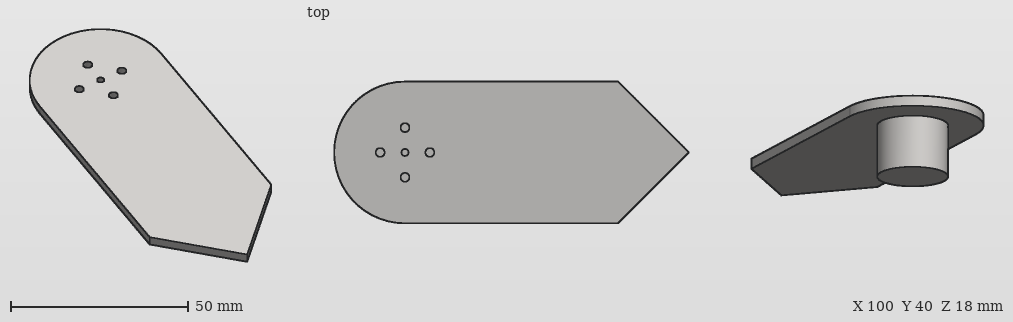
import cadquery as cq

length = 100.0
width = 40.0
plate_thickness = 3.0

hub_diameter = 20.0
hub_height = 15.0

center_hole_diameter = 2.0
outer_hole_diameter = 2.5
outer_hole_count = 4
outer_hole_circle_radius = 7.0

half_width = width / 2
tip_x = length - half_width
shoulder_x = tip_x - half_width


def make_plate():
    """Plate with its underside at Z = 0 and its round end centred on the origin."""
    return (
        cq.Workplane("XY")
        .moveTo(0, half_width)
        .threePointArc((-half_width, 0), (0, -half_width))
        .lineTo(shoulder_x, -half_width)
        .lineTo(tip_x, 0)
        .lineTo(shoulder_x, half_width)
        .close()
        .extrude(plate_thickness)
    )


def make_hub():
    """Round hub hanging from the underside of the plate."""
    return cq.Workplane("XY").circle(hub_diameter / 2).extrude(-hub_height)


def make_holes():
    """Cutters for the centre hole and the ring of holes around it."""
    hub_top = cq.Workplane("XY")
    center_hole = hub_top.circle(center_hole_diameter / 2).extrude(plate_thickness)
    outer_holes = (
        hub_top.polarArray(outer_hole_circle_radius, 0, 360, outer_hole_count)
        .circle(outer_hole_diameter / 2)
        .extrude(plate_thickness)
    )
    return center_hole.add(outer_holes).combine()


result = make_plate().union(make_hub()).cut(make_holes())